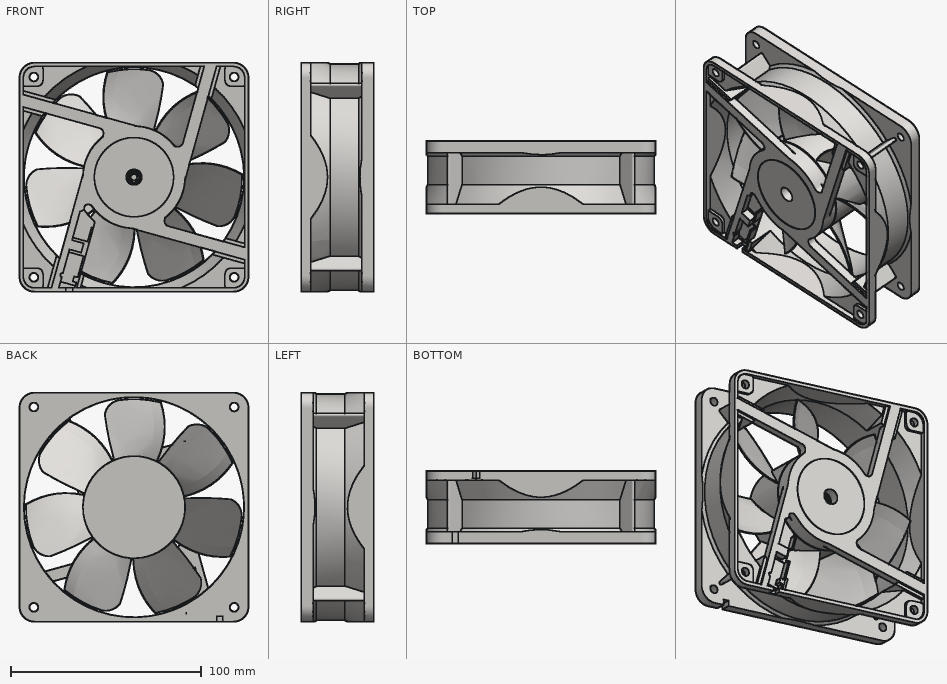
import cadquery as cq
import math


SIDE = 120.0
DEPTH = 38.0
CORNER_RADIUS = 7.9
FRONT_FLANGE = 4.9
BACK_FLANGE = 6.2
HALF = SIDE / 2
FRONT = -DEPTH / 2
BACK = DEPTH / 2
FRONT_FLANGE_BACK = FRONT + FRONT_FLANGE
BACK_FLANGE_FRONT = BACK - BACK_FLANGE

THROAT_RADIUS = 57.6
DUCT_WALL = 1.8
DUCT_RADIUS = THROAT_RADIUS + DUCT_WALL
CONE_START = -3.8
CONE_SLOPE = 0.44
COLLAR_START = 11.0
COLLAR_RADIUS = 60.8

RIM = 2.0
RECESS_DEPTH = 2.9
STEP_DEPTH = 1.2
INNER_SIDE = SIDE - 2 * RIM
INNER_CORNER_RADIUS = CORNER_RADIUS - RIM
FLOOR = FRONT + RECESS_DEPTH
STEP = FRONT + STEP_DEPTH
HOLE_OFFSET = 52.5
HOLE_DIAMETER = 4.5
PAD_INNER = 47.6
PAD_RADIUS = 3.1
WEB_THICKNESS = 1.9
WEB_TIP_RADIUS = 69.0

HUB_RADIUS = 26.8
HUB_BACK = -9.6
LABEL_RADIUS = 20.8
LABEL_DEPTH = 0.2
STRUT_TILT = 15.5
STRUT_OUTER = 26.2
STRUT_INNER = 19.9
STRUT_REACH = 72.0
STRUT_FILLET = 2.9
LEDGE_WIDTH = 1.9
CABLE_STRUT = 1
CABLE_STRUT_INNER = 13.5

CHANNEL_DEPTH = 4.0
CHANNEL_FLOOR = FRONT + CHANNEL_DEPTH
CHANNEL_OUTER = 22.5
CHANNEL_INNER = 14.4
CHANNEL_END = 63.0
SIDE_OPENING_INNER = 13.1
SIDE_OPENING_END = 31.3
CHANNEL_TIP = [(27.4, SIDE_OPENING_INNER), (23.4, 20.5), (25.0, CHANNEL_OUTER)]
BRIDGE_START = 40.5
BRIDGE_END = 45.5
BRIDGE_INNER = 16.1
RELIEF_GAP = 1.5
RELIEF_DEPTH = 4.5
CLIP_START = 58.5
CLIP_END = 61.2
CLIP_WIDTH = 1.9
PEG_HOLE_ALONG = 59.4
PEG_HOLE_RADIUS = 1.1
CHUTE_DEPTH = 6.0
WIRE_SLOT_WIDTH = 4.3
WIRE_SLOT_LENGTH = 11.5
WIRE_SLOT_ANGLE = -48.0
WIRE_SLOT_X = -21.6
WIRE_SLOT_Z = -19.1
RIM_NOTCH_X = -34.0
RIM_NOTCH_WIDTH = 3.6
BACK_NOTCH_X = -44.9
BACK_NOTCH_WIDTH = 3.0
BACK_NOTCH_HEIGHT = 3.0

BORE_RADIUS = 4.1
BORE_FLOOR = -12.6
SEAT_RADIUS = 3.4
SEAT_FLOOR = -11.4
SHAFT_RADIUS = 2.6
SHAFT_END = -12.0
DIMPLE_RADIUS = 1.7
DIMPLE_DEPTH = 1.2

ROTOR_RADIUS = 26.8
ROTOR_FRONT = -9.0
ROTOR_BACK = 18.6
BLADE_COUNT = 7
BLADE_TIP_RADIUS = 56.6
BLADE_THICKNESS = 1.2
LEADING_THICKNESS = 0.5
LEADING_Y = -8.2
CREASE_Y = -3.1
TRAILING_Y = 16.3
CREASE_WIDTH = 5.3
LEADING_SLANT = 0.4
TRAILING_SLANT = 1.0
BLADE_STATIONS = [(24.0, -11.8, 10.3), (40.8, -15.8, 14.2), (57.6, -12.8, 16.3)]
TIP_ARC = [(7.5, 56.2), (13.2, 53.0), (15.4, 48.4)]


def from_back(y_back):
    """Workplane whose extrusions run forward, towards -Y, from y_back."""
    return cq.Workplane("XZ", origin=(0, y_back, 0))


def disc(radius, y_front, y_back):
    return from_back(y_back).circle(radius).extrude(y_back - y_front)


def block(x, z, width, height, y_front, y_back):
    return from_back(y_back).center(x, z).rect(width, height).extrude(y_back - y_front)


def square_plate(side, radius, y_front, y_back):
    return block(0, 0, side, side, y_front, y_back).edges("|Y").fillet(radius)


def turned(points):
    """Solid of revolution about Y from (radius, y) points."""
    return cq.Workplane("XY").polyline(points).close().revolve(360, (0, 0), (0, 1))


def strut_point(along, offset, quarter):
    """X and Z of a place given along a strut and by its offset from the fan axis."""
    angle = math.radians(90 * quarter - STRUT_TILT)
    x = -along * math.cos(angle) - offset * math.sin(angle)
    z = -along * math.sin(angle) + offset * math.cos(angle)
    return x, z


def strut_prism(quarter, outline, y_front, y_back):
    """Prism over an outline of (along, offset) points of one strut."""
    points = [strut_point(along, offset, quarter) for along, offset in outline]
    return from_back(y_back).polyline(points).close().extrude(y_back - y_front)


def strut_bar(quarter, start, end, inner, outer, y_front, y_back):
    outline = [(start, inner), (end, inner), (end, outer), (start, outer)]
    return strut_prism(quarter, outline, y_front, y_back)


def strut_inner(quarter):
    return CABLE_STRUT_INNER if quarter == CABLE_STRUT else STRUT_INNER


def cone_radius(throat, y):
    return throat + CONE_SLOPE * (CONE_START - y)


def make_duct():
    shell = turned([
        (0, FRONT),
        (cone_radius(DUCT_RADIUS, FRONT), FRONT),
        (DUCT_RADIUS, CONE_START),
        (DUCT_RADIUS, COLLAR_START),
        (COLLAR_RADIUS, BACK_FLANGE_FRONT),
        (COLLAR_RADIUS, BACK),
        (0, BACK),
    ])
    return shell.intersect(square_plate(SIDE, CORNER_RADIUS, FRONT, BACK))


def make_air_passage():
    passage = turned([
        (0, FRONT),
        (cone_radius(THROAT_RADIUS, FRONT), FRONT),
        (THROAT_RADIUS, CONE_START),
        (THROAT_RADIUS, BACK),
        (0, BACK),
    ])
    return passage.intersect(square_plate(INNER_SIDE, INNER_CORNER_RADIUS, FRONT, BACK))


def make_corner_webs():
    web_length = WEB_TIP_RADIUS - THROAT_RADIUS
    web_centre = THROAT_RADIUS + web_length / 2
    return (
        from_back(BACK_FLANGE_FRONT)
        .polarArray(web_centre, 45, 360, 4)
        .slot2D(web_length, WEB_THICKNESS)
        .extrude(BACK_FLANGE_FRONT - FRONT_FLANGE_BACK)
    )


def make_stator():
    """Hub with four struts, each narrow strut rounded into the hub on its inner side."""
    stator = disc(HUB_RADIUS, FRONT, FRONT_FLANGE_BACK)
    for quarter in range(4):
        stator = stator.union(strut_bar(
            quarter, 0, STRUT_REACH, strut_inner(quarter), STRUT_OUTER, FRONT, FRONT_FLANGE_BACK
        ))
    corner_along = math.sqrt(HUB_RADIUS**2 - STRUT_INNER**2)
    corner_y = (FRONT + FRONT_FLANGE_BACK) / 2
    for quarter in range(4):
        if quarter != CABLE_STRUT:
            x, z = strut_point(corner_along, STRUT_INNER, quarter)
            corner = cq.selectors.NearestToPointSelector((x, corner_y, z))
            stator = stator.edges("|Y").edges(corner).fillet(STRUT_FILLET)
    return stator.union(disc(HUB_RADIUS, FRONT_FLANGE_BACK, HUB_BACK))


def make_ledges():
    """Feet under the strut ends, reaching from the rim to the throat."""
    ledges = cq.Workplane("XZ")
    for quarter in range(4):
        inner = strut_inner(quarter) - LEDGE_WIDTH
        outer = STRUT_OUTER + LEDGE_WIDTH
        ledges = ledges.union(
            strut_bar(quarter, HUB_RADIUS, STRUT_REACH, inner, outer, STEP, CONE_START)
        )
    return ledges.cut(disc(THROAT_RADIUS, FRONT, BACK))


def make_pads():
    size = HALF - PAD_INNER
    spacing = HALF + PAD_INNER
    pads = (
        from_back(FLOOR)
        .rect(spacing, spacing, forConstruction=True)
        .vertices()
        .rect(size, size)
        .extrude(FLOOR - STEP)
    )
    return pads.edges("|Y").fillet(PAD_RADIUS)


def make_mounting_holes():
    spacing = 2 * HOLE_OFFSET
    return (
        from_back(BACK)
        .rect(spacing, spacing, forConstruction=True)
        .vertices()
        .circle(HOLE_DIAMETER / 2)
        .extrude(DEPTH)
    )


def make_bearing_bore():
    bore = disc(BORE_RADIUS, FRONT, BORE_FLOOR)
    seat = disc(SEAT_RADIUS, BORE_FLOOR, SEAT_FLOOR)
    shaft_hole = disc(SHAFT_RADIUS, SEAT_FLOOR, HUB_BACK)
    return bore.union(seat).union(shaft_hole)


def make_cable_channel():
    """Everything removed for the cable: channel, chute, wire slot and edge notches."""
    outline = CHANNEL_TIP + [
        (CHANNEL_END, CHANNEL_OUTER),
        (CHANNEL_END, CHANNEL_INNER),
        (SIDE_OPENING_END, CHANNEL_INNER),
        (SIDE_OPENING_END, SIDE_OPENING_INNER),
    ]
    channel = strut_prism(CABLE_STRUT, outline, FRONT, CHANNEL_FLOOR)
    bridge = strut_bar(
        CABLE_STRUT, BRIDGE_START, BRIDGE_END, BRIDGE_INNER, CHANNEL_OUTER, FRONT, FRONT_FLANGE_BACK
    )
    relief = strut_bar(
        CABLE_STRUT, BRIDGE_START - RELIEF_GAP, BRIDGE_END + RELIEF_GAP,
        SIDE_OPENING_INNER, CHANNEL_OUTER, FRONT, FRONT + RELIEF_DEPTH,
    )
    clip = strut_bar(
        CABLE_STRUT, CLIP_START, CLIP_END, CHANNEL_INNER, CHANNEL_INNER + CLIP_WIDTH,
        FRONT, CHANNEL_FLOOR,
    )
    peg_x, peg_z = strut_point(PEG_HOLE_ALONG, CHANNEL_OUTER, CABLE_STRUT)
    peg_hole = disc(PEG_HOLE_RADIUS, FRONT, CHANNEL_FLOOR).translate((peg_x, 0, peg_z))

    chute_floor = FRONT + CHUTE_DEPTH
    chute = strut_bar(
        CABLE_STRUT, CHANNEL_END, STRUT_REACH, CHANNEL_INNER, CHANNEL_OUTER, FRONT, chute_floor
    ).intersect(block(0, 0, INNER_SIDE, INNER_SIDE, FRONT, chute_floor))

    wire_slot = (
        from_back(HUB_BACK)
        .center(WIRE_SLOT_X, WIRE_SLOT_Z)
        .slot2D(WIRE_SLOT_LENGTH, WIRE_SLOT_WIDTH, WIRE_SLOT_ANGLE)
        .extrude(HUB_BACK - FRONT)
    )
    rim_notch = block(RIM_NOTCH_X, -HALF, RIM_NOTCH_WIDTH, 2 * RIM, FRONT, CHANNEL_FLOOR)
    back_notch = block(
        BACK_NOTCH_X, -HALF, BACK_NOTCH_WIDTH, 2 * BACK_NOTCH_HEIGHT, BACK_FLANGE_FRONT, BACK
    )
    channel = channel.union(relief).cut(bridge).cut(clip)
    return channel.union(peg_hole).union(chute).union(wire_slot).union(rim_notch).union(back_notch)


def make_frame():
    duct = make_duct()
    front_flange = square_plate(SIDE, CORNER_RADIUS, FRONT, FRONT_FLANGE_BACK)
    back_flange = square_plate(SIDE, CORNER_RADIUS, BACK_FLANGE_FRONT, BACK)
    recess = square_plate(INNER_SIDE, INNER_CORNER_RADIUS, FRONT, FLOOR)
    shell = duct.union(front_flange).union(back_flange).union(make_corner_webs())
    shell = shell.cut(recess).cut(make_air_passage())

    inserts = make_pads().union(make_ledges()).union(make_stator())
    body = shell.union(inserts.intersect(duct.union(front_flange)))

    label_recess = disc(LABEL_RADIUS, FRONT, FRONT + LABEL_DEPTH)
    body = body.cut(make_mounting_holes()).cut(label_recess)
    return body.cut(make_bearing_bore()).cut(make_cable_channel())


def blade_section(radius, leading_x, trailing_x):
    """Thin cranked section of the upright blade at one radius."""
    crease_x = leading_x + CREASE_WIDTH
    front_side = [
        (leading_x, LEADING_Y),
        (crease_x, CREASE_Y),
        (trailing_x - TRAILING_SLANT, TRAILING_Y),
    ]
    back_side = [
        (trailing_x, TRAILING_Y + BLADE_THICKNESS),
        (crease_x, CREASE_Y + BLADE_THICKNESS),
        (leading_x - LEADING_SLANT, LEADING_Y + LEADING_THICKNESS),
    ]
    corners = [cq.Vector(x, y, radius) for x, y in front_side + back_side]
    return cq.Wire.makePolygon(corners, close=True)


def make_tip_limit():
    """Prism around the upright blade that rounds its trailing tip corner."""
    arc_start, arc_middle, arc_end = TIP_ARC
    return (
        from_back(BACK)
        .moveTo(-HUB_RADIUS, 0)
        .lineTo(-HUB_RADIUS, HALF)
        .lineTo(arc_start[0], HALF)
        .lineTo(*arc_start)
        .threePointArc(arc_middle, arc_end)
        .lineTo(HUB_RADIUS, arc_end[1])
        .lineTo(HUB_RADIUS, 0)
        .close()
        .extrude(DEPTH)
    )


def make_blade():
    sections = [blade_section(*station) for station in BLADE_STATIONS]
    blade = cq.Workplane(cq.Solid.makeLoft(sections))
    return blade.intersect(disc(BLADE_TIP_RADIUS, FRONT, BACK)).intersect(make_tip_limit())


def make_rotor():
    dimple = disc(DIMPLE_RADIUS, SHAFT_END, SHAFT_END + DIMPLE_DEPTH)
    shaft = disc(SHAFT_RADIUS, SHAFT_END, ROTOR_FRONT).cut(dimple)
    rotor = disc(ROTOR_RADIUS, ROTOR_FRONT, ROTOR_BACK).union(shaft)
    blade = make_blade()
    for index in range(BLADE_COUNT):
        rotor = rotor.union(blade.rotate((0, 0, 0), (0, 1, 0), index * 360 / BLADE_COUNT))
    return rotor


frame = make_frame()
rotor = make_rotor()

result = cq.Compound.makeCompound([frame.val(), rotor.val()])